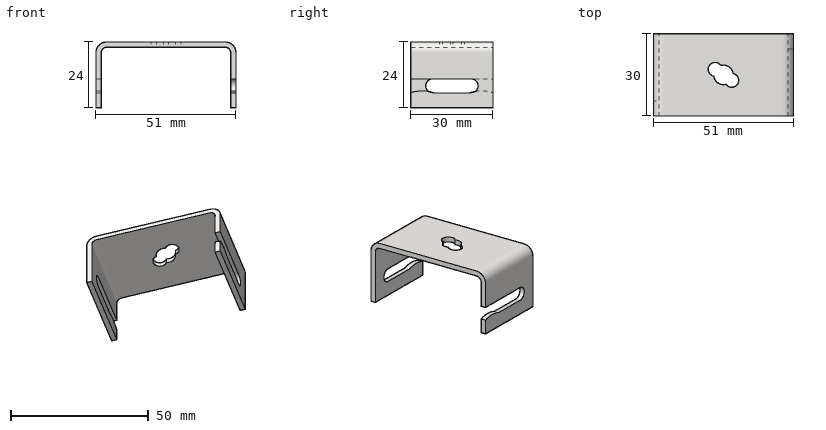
import cadquery as cq

length = 51.0
width = 30.0
height = 24.0
thickness = 2.0
bend_radius = 4.0

slot_height = 5.0
slot_bottom = 5.5
slot_end_wall = 5.5

bump_length = 8.5
bump_height = 0.7

center_hole_radius = 3.5
side_hole_radius = 2.5
side_hole_x = 3.0
side_hole_y = 2.0


def make_bent_sheet():
    """Channel with rounded bends, centered in X and Y and standing on Z = 0."""
    outer = (
        cq.Workplane("XY")
        .box(length, width, height, centered=(True, True, False))
        .edges("|Y and >Z")
        .fillet(bend_radius)
    )
    inner = (
        cq.Workplane("XY")
        .box(length - 2 * thickness, width, height - thickness, centered=(True, True, False))
        .edges("|Y and >Z")
        .fillet(bend_radius - thickness)
    )
    return outer.cut(inner)


def make_leg_slot():
    """Cutter for the slot of the -X leg, which opens at the +Y edge."""
    open_y = width / 2
    closed_y = -width / 2 + slot_end_wall
    end_radius = slot_height / 2
    slot_top = slot_bottom + slot_height
    return (
        cq.Workplane("YZ", origin=(-length / 2, 0, 0))
        .moveTo(open_y, slot_top)
        .lineTo(closed_y + end_radius, slot_top)
        .threePointArc(
            (closed_y, slot_bottom + end_radius),
            (closed_y + end_radius, slot_bottom),
        )
        .lineTo(open_y - bump_length, slot_bottom)
        .threePointArc(
            (open_y - bump_length / 2, slot_bottom + bump_height),
            (open_y, slot_bottom),
        )
        .close()
        .extrude(thickness)
    )


def make_top_hole():
    """Cutter for the three-lobed hole through the top plate."""
    plate = cq.Workplane("XY", origin=(0, 0, height - thickness))
    center = plate.circle(center_hole_radius).extrude(thickness)
    sides = (
        plate.pushPoints([(-side_hole_x, side_hole_y), (side_hole_x, -side_hole_y)])
        .circle(side_hole_radius)
        .extrude(thickness)
    )
    return center.union(sides)


result = make_bent_sheet().cut(make_top_hole())

for angle in (0, 180):
    result = result.cut(make_leg_slot().rotate((0, 0, 0), (0, 0, 1), angle))